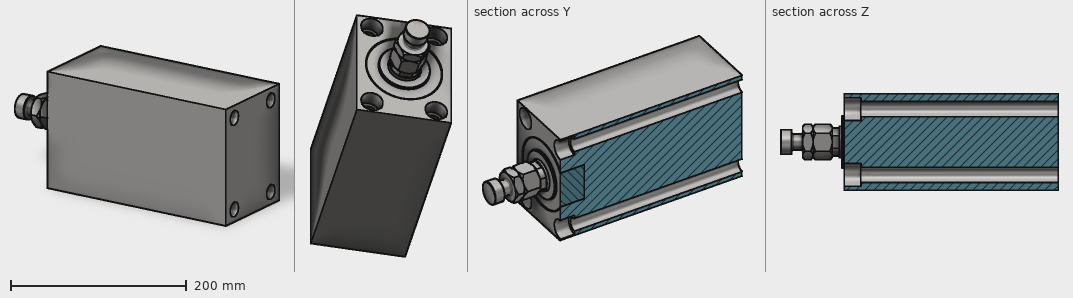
import cadquery as cq
import math

TOTAL_LENGTH = 316.0
HOUSING_WIDTH = 110.0
HOUSING_HEIGHT = 140.0
FRONT_FACE_X = 72.5

HOLE_SPACING_Y = 75.0
HOLE_SPACING_Z = 110.0
HOLE_DIA = 17.0
COUNTERBORE_DIA = 25.5
COUNTERBORE_DEPTH = 19.0

GLAND_DIA = 87.5
GLAND_DEPTH = 31.5
RECESS_BEVEL = 1.0
BOSS_DIA = 60.0
BOSS_HEIGHT = 3.0
BOSS_BEVEL = 1.0
BORE_DIA = 39.0

ROD_DIA = 36.0
ROD_END_DIA = 35.5
FLATS_WIDTH = 32.2
FLATS_START_X = 58.8
FLATS_END_X = 66.7

HEAD_DIA = 28.0
HEAD_LENGTH = 13.0
HEAD_BEVEL = 0.5
NECK_DIA = 18.3
NECK_FILLET = 1.3
HEX_WIDTH = 35.5
LOCK_HEX_START_X = 25.0
LONG_HEX_START_X = 37.0


def rod_axis_plane(x):
    """Workplane square to the cylinder axis at x, facing +X."""
    return cq.Workplane("YZ", origin=(x, 0, 0))


def disc(dia, start_x, end_x):
    return rod_axis_plane(start_x).circle(dia / 2).extrude(end_x - start_x)


def chamfered_hex(start_x, end_x):
    """Hexagon with flats facing +Z and -Z, its corners turned down at both ends."""
    corner_dia = HEX_WIDTH / math.cos(math.pi / 6)
    corner_drop = (corner_dia - HEX_WIDTH) / 2
    hexagon = rod_axis_plane(start_x).polygon(6, corner_dia).extrude(end_x - start_x)
    turned = disc(corner_dia, start_x, end_x).edges().chamfer(corner_drop)
    return hexagon.intersect(turned)


def make_housing():
    length = TOTAL_LENGTH - FRONT_FACE_X
    block = rod_axis_plane(FRONT_FACE_X).rect(HOUSING_WIDTH, HOUSING_HEIGHT).extrude(length)
    holes = (
        rod_axis_plane(FRONT_FACE_X)
        .rect(HOLE_SPACING_Y, HOLE_SPACING_Z, forConstruction=True)
        .vertices()
    )
    bores = holes.circle(HOLE_DIA / 2).extrude(length)
    counterbores = holes.circle(COUNTERBORE_DIA / 2).extrude(COUNTERBORE_DEPTH)
    gland_recess = disc(GLAND_DIA, FRONT_FACE_X, FRONT_FACE_X + GLAND_DEPTH)
    recess_mouth = cq.selectors.RadiusNthSelector(-1)
    housing = block.cut(bores).cut(counterbores).cut(gland_recess)
    return housing.faces("<X").edges("%CIRCLE").edges(recess_mouth).chamfer(RECESS_BEVEL)


def make_gland():
    back_x = FRONT_FACE_X + GLAND_DEPTH
    boss_x = FRONT_FACE_X - BOSS_HEIGHT
    plate = disc(GLAND_DIA, FRONT_FACE_X, back_x)
    boss = disc(BOSS_DIA, boss_x, FRONT_FACE_X).faces("<X").edges().chamfer(BOSS_BEVEL)
    return plate.union(boss).cut(disc(BORE_DIA, boss_x, back_x))


def make_rod():
    shaft = disc(ROD_DIA, FLATS_END_X, FRONT_FACE_X + GLAND_DEPTH)
    flats_length = FLATS_END_X - FLATS_START_X
    square = rod_axis_plane(FLATS_START_X).rect(FLATS_WIDTH, FLATS_WIDTH).extrude(flats_length)
    rod_end = disc(ROD_END_DIA, FLATS_START_X, FLATS_END_X).intersect(square)
    return shaft.union(rod_end)


def make_coupling():
    head = disc(HEAD_DIA, 0, HEAD_LENGTH).edges().chamfer(HEAD_BEVEL)
    neck = disc(NECK_DIA, HEAD_LENGTH, LOCK_HEX_START_X)
    lock_hex = chamfered_hex(LOCK_HEX_START_X, LONG_HEX_START_X)
    long_hex = chamfered_hex(LONG_HEX_START_X, FLATS_START_X)
    neck_ends = cq.selectors.RadiusNthSelector(0)
    coupling = head.union(neck).union(lock_hex).union(long_hex)
    return coupling.edges("%CIRCLE").edges(neck_ends).fillet(NECK_FILLET)


housing = make_housing()
gland = make_gland()
rod = make_rod()
coupling = make_coupling()

result = cq.Compound.makeCompound([housing.val(), gland.val(), rod.val(), coupling.val()])